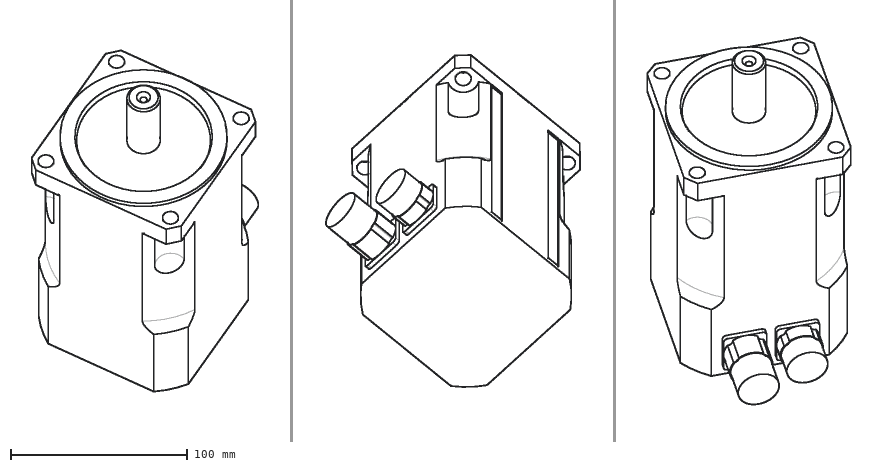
import cadquery as cq
import math

SHAFT_TOP = 199.0
RIM_TOP = 161.8
FLANGE_TOP = 158.8
FLANGE_BOTTOM = 144.7
RELIEF_BOTTOM = 62.0

BODY_WIDTH = 98.0
FLANGE_CHAMFER = 6.4
LOWER_CORNER_RADIUS = 59.9
RELIEF_RADIUS = 56.0
RELIEF_RUNOUT_RADIUS = 10.0

RIM_DIAMETER = 95.0
RIM_BORE_TOP_DIAMETER = 78.0
RIM_BORE_FLOOR_DIAMETER = 76.0
RIM_BORE_DEPTH = 3.5

SHAFT_DIAMETER = 19.0
SHAFT_CHAMFER = 1.2
CENTRE_MOUTH_DIAMETER = 7.8
CENTRE_PILOT_DIAMETER = 4.0
CENTRE_CONE_ANGLE = 75.0
CENTRE_PILOT_DEPTH = 6.0

BOLT_CIRCLE_DIAMETER = 115.0
BOLT_HOLE_DIAMETER = 9.0
SCREW_POCKET_DIAMETER = 18.0
SCREW_POCKET_BOTTOM = 113.6

GROOVE_WIDTH = 8.4
GROOVE_DEPTH = 1.0
GROOVE_OFFSET = 22.0
GROOVE_BOTTOM = 4.2

CONNECTOR_GAP = 0.5
CONNECTOR_SPACING = 31.0
CONNECTOR_HEIGHT = 19.0
CONNECTOR_WIDTH = 25.3
CONNECTOR_BARREL_DIAMETER = 24.0
CONNECTOR_PLATE_THICKNESS = 2.8
CONNECTOR_CORNER_RADIUS = 2.4
CONNECTOR_NOTCH_RADIUS = 3.0
LONG_COLLAR_LENGTH = 17.0
LONG_TOTAL_LENGTH = 34.0
SHORT_COLLAR_LENGTH = 11.1
SHORT_TOTAL_LENGTH = 24.0

HALF_WIDTH = BODY_WIDTH / 2
BOLT_OFFSET = BOLT_CIRCLE_DIAMETER / 2 * math.sqrt(0.5)
BOLT_POINTS = [(sx * BOLT_OFFSET, sy * BOLT_OFFSET) for sx in (-1, 1) for sy in (-1, 1)]
RIM_BORE_FLOOR = RIM_TOP - RIM_BORE_DEPTH


def cylinder(diameter, bottom, top):
    """Upright cylinder on the Z axis."""
    return cq.Workplane("XY").workplane(offset=bottom).circle(diameter / 2).extrude(top - bottom)


def housing_core():
    """Square column whose corners are trimmed by a stepped body of revolution."""
    runout_depth = LOWER_CORNER_RADIUS - RELIEF_RADIUS
    runout_centre = RELIEF_RADIUS + RELIEF_RUNOUT_RADIUS
    runout_drop = math.sqrt(RELIEF_RUNOUT_RADIUS**2 - (RELIEF_RUNOUT_RADIUS - runout_depth) ** 2)
    half_angle = math.asin(runout_drop / RELIEF_RUNOUT_RADIUS) / 2
    arc_middle = (
        runout_centre - RELIEF_RUNOUT_RADIUS * math.cos(half_angle),
        RELIEF_BOTTOM - RELIEF_RUNOUT_RADIUS * math.sin(half_angle),
    )
    envelope = (
        cq.Workplane("XZ")
        .lineTo(LOWER_CORNER_RADIUS, 0)
        .lineTo(LOWER_CORNER_RADIUS, RELIEF_BOTTOM - runout_drop)
        .threePointArc(arc_middle, (RELIEF_RADIUS, RELIEF_BOTTOM))
        .lineTo(RELIEF_RADIUS, FLANGE_BOTTOM)
        .lineTo(0, FLANGE_BOTTOM)
        .close()
        .revolve(360, (0, 0), (0, 1))
    )
    column = cq.Workplane("XY").rect(BODY_WIDTH, BODY_WIDTH).extrude(FLANGE_BOTTOM)
    return column.intersect(envelope)


def flange():
    """Chamfered square mounting flange with its round centring rim."""
    plate = (
        cq.Workplane("XY")
        .workplane(offset=FLANGE_BOTTOM)
        .rect(BODY_WIDTH, BODY_WIDTH)
        .extrude(FLANGE_TOP - FLANGE_BOTTOM)
        .edges("|Z")
        .chamfer(FLANGE_CHAMFER)
    )
    return plate.union(cylinder(RIM_DIAMETER, FLANGE_TOP, RIM_TOP))


def rim_bore():
    """Slightly tapered recess inside the centring rim."""
    return (
        cq.Workplane("XY")
        .workplane(offset=RIM_BORE_FLOOR)
        .circle(RIM_BORE_FLOOR_DIAMETER / 2)
        .workplane(offset=RIM_BORE_DEPTH)
        .circle(RIM_BORE_TOP_DIAMETER / 2)
        .loft()
    )


def screw_cutters():
    """Flange holes, and the ball-ended screw pockets below them."""
    holes = (
        cq.Workplane("XY")
        .workplane(offset=FLANGE_BOTTOM)
        .pushPoints(BOLT_POINTS)
        .circle(BOLT_HOLE_DIAMETER / 2)
        .extrude(FLANGE_TOP - FLANGE_BOTTOM)
    )
    pocket_level = cq.Workplane("XY").workplane(offset=SCREW_POCKET_BOTTOM).pushPoints(BOLT_POINTS)
    pockets = pocket_level.circle(SCREW_POCKET_DIAMETER / 2).extrude(FLANGE_BOTTOM - SCREW_POCKET_BOTTOM)
    pocket_ends = pocket_level.sphere(SCREW_POCKET_DIAMETER / 2)
    return holes.union(pockets).union(pocket_ends)


def side_grooves():
    """Two shallow vertical grooves in the -X face, ending at the flange."""
    return (
        cq.Workplane("XY")
        .workplane(offset=GROOVE_BOTTOM)
        .pushPoints([(-HALF_WIDTH, -GROOVE_OFFSET), (-HALF_WIDTH, GROOVE_OFFSET)])
        .rect(2 * GROOVE_DEPTH, GROOVE_WIDTH)
        .extrude(FLANGE_BOTTOM - GROOVE_BOTTOM)
    )


def shaft():
    """Output shaft with a chamfered end and a centre-drilled hole."""
    mouth_radius = CENTRE_MOUTH_DIAMETER / 2
    pilot_radius = CENTRE_PILOT_DIAMETER / 2
    cone_depth = (mouth_radius - pilot_radius) / math.tan(math.radians(CENTRE_CONE_ANGLE / 2))
    centre_hole = (
        cq.Workplane("XZ", origin=(0, 0, SHAFT_TOP))
        .lineTo(mouth_radius, 0)
        .lineTo(pilot_radius, -cone_depth)
        .lineTo(pilot_radius, -cone_depth - CENTRE_PILOT_DEPTH)
        .lineTo(0, -cone_depth - CENTRE_PILOT_DEPTH)
        .close()
        .revolve(360, (0, 0), (0, 1))
    )
    rod = cylinder(SHAFT_DIAMETER, RIM_BORE_FLOOR, SHAFT_TOP).faces(">Z").chamfer(SHAFT_CHAMFER)
    return rod.cut(centre_hole)


def build_motor():
    """Housing, flange and output shaft as one solid."""
    housing = housing_core().union(flange())
    housing = housing.cut(rim_bore()).cut(screw_cutters()).cut(side_grooves())
    return housing.union(shaft())


def build_connector(x, collar_length, total_length):
    """Connector beside the +Y face; both lengths start at the back of its plate."""
    base = cq.Workplane("XZ", origin=(x, HALF_WIDTH + CONNECTOR_GAP, CONNECTOR_HEIGHT))
    plate = (
        base.rect(CONNECTOR_WIDTH, CONNECTOR_WIDTH)
        .extrude(-CONNECTOR_PLATE_THICKNESS)
        .edges("|Y")
        .fillet(CONNECTOR_CORNER_RADIUS)
    )
    corner_spacing = CONNECTOR_WIDTH - 2 * CONNECTOR_CORNER_RADIUS
    notches = (
        base.workplane(offset=-CONNECTOR_PLATE_THICKNESS)
        .rect(corner_spacing, corner_spacing, forConstruction=True)
        .vertices()
        .circle(CONNECTOR_NOTCH_RADIUS)
        .extrude(CONNECTOR_PLATE_THICKNESS - collar_length)
    )
    collar = base.circle(CONNECTOR_WIDTH / 2).extrude(-collar_length).cut(notches)
    barrel = base.circle(CONNECTOR_BARREL_DIAMETER / 2).extrude(-total_length).cut(notches)
    return plate.union(collar).union(barrel)


motor = build_motor()
connectors = [
    build_connector(x, collar_length, total_length)
    for x, collar_length, total_length in (
        (-CONNECTOR_SPACING / 2, SHORT_COLLAR_LENGTH, SHORT_TOTAL_LENGTH),
        (CONNECTOR_SPACING / 2, LONG_COLLAR_LENGTH, LONG_TOTAL_LENGTH),
    )
]

result = cq.Compound.makeCompound([motor.val(), *[connector.val() for connector in connectors]])